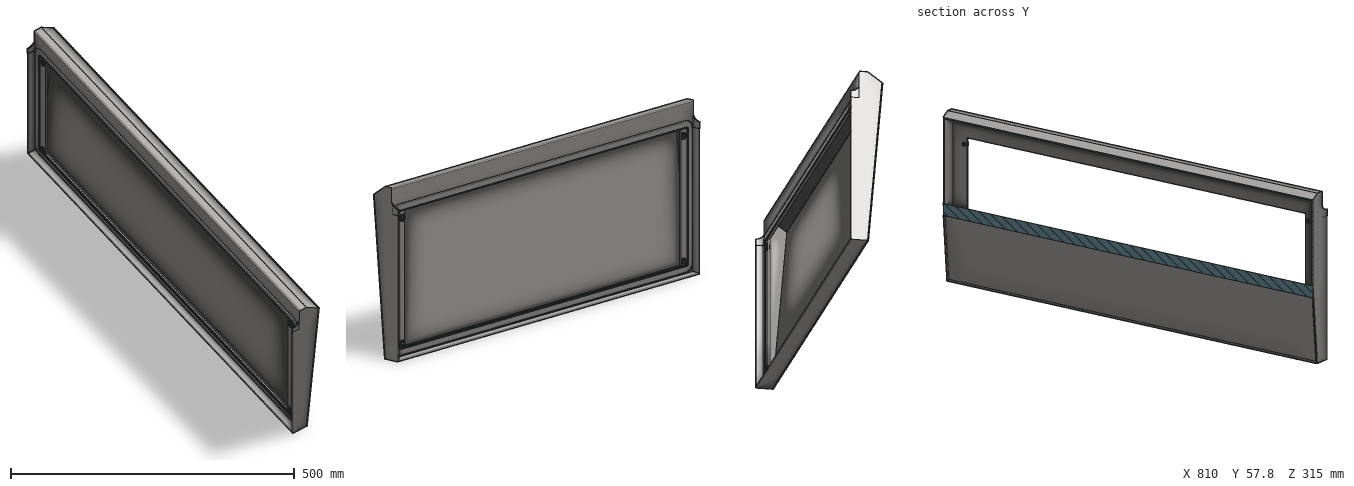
import cadquery as cq
import math

width = 810.0
height = 315.0
depth = 57.75

wall = 3.5
front_y = 15.0
top_back_y = 30.0
knee_z = 295.6
back_tilt = math.radians(5)
base_back_y = depth - knee_z * math.tan(back_tilt)
top_front_radius = 2.0

back_panel_thickness = 2.0

rim_wall = 3.0
rim_round_top = 266.0
rim_tip_z = 278.0
rim_sweep_z = 287.0
rim_tip_wall = 2.0

pad_width = 800.0
pad_bottom = 5.0
pad_top = 281.5
pad_height = 2.5
pad_corner_radius = 16.0
pad_edge_radius = 1.5
recess_border = 11.5
recess_corner_radius = 5.0
ledge_width = 2.0
ledge_depth = 1.25

strip_inner_x = 370.5
sill = 1.0

grommet_x = 377.0
grommet_zs = (25.7, 255.1)
grommet_places = [(side * grommet_x, z) for side in (-1, 1) for z in grommet_zs]
flange_diameter = 13.0
flange_thickness = 1.0
shank_diameter = 8.0
bore_diameter = 5.0

overlap = 1.0


def rounded_block(block_width, z_low, z_high, corner_radius, y_front, y_back):
    """Block with rounded corners in XZ, between two Y positions."""
    return (
        cq.Workplane("XZ", origin=(0, y_back, (z_low + z_high) / 2))
        .rect(block_width, z_high - z_low)
        .extrude(y_back - y_front)
        .edges("|Y")
        .fillet(corner_radius)
    )


def cylinder_y(diameter, x, z, y_front, y_back):
    """Cylinder along Y between two Y positions."""
    return cq.Workplane("XZ", origin=(x, y_back, z)).circle(diameter / 2).extrude(y_back - y_front)


def wedge_sketch(back_shift=0.0):
    """Closed side profile of the wedge in YZ, its sloping back moved along Y by back_shift."""
    return (
        cq.Workplane("YZ")
        .polyline(
            [
                (front_y, 0),
                (front_y, height),
                (top_back_y + back_shift, height),
                (depth + back_shift, knee_z),
                (base_back_y + back_shift, 0),
            ]
        )
        .close()
    )


def make_back_panel():
    """Flat sheet of even thickness, flush with the sloping back."""
    slant_y = back_panel_thickness / math.cos(back_tilt)
    inner_knee_y = depth - back_panel_thickness * math.cos(back_tilt)
    inner_knee_z = knee_z + back_panel_thickness * math.sin(back_tilt)
    return (
        cq.Workplane("YZ")
        .polyline(
            [
                (base_back_y, 0),
                (depth, knee_z),
                (inner_knee_y, inner_knee_z),
                (base_back_y - slant_y, 0),
            ]
        )
        .close()
        .extrude(width / 2, both=True)
    )


def rim_tip(side):
    """End of one rim leg, swept back to the front face by a circular arc."""
    sweep_drop = rim_sweep_z - rim_tip_z
    sweep_radius = (front_y**2 + sweep_drop**2) / (2 * sweep_drop)
    mid_angle = math.asin(front_y / sweep_radius) / 2
    mid_y = sweep_radius * math.sin(mid_angle)
    mid_z = rim_tip_z + sweep_radius * (1 - math.cos(mid_angle))
    inner_x = width / 2 - rim_tip_wall
    tip = (
        cq.Workplane("YZ", origin=(inner_x, 0, 0))
        .moveTo(0, rim_round_top)
        .lineTo(0, rim_tip_z)
        .threePointArc((mid_y, mid_z), (front_y, rim_sweep_z))
        .lineTo(front_y, rim_round_top)
        .close()
        .extrude(rim_tip_wall)
    )
    return tip if side > 0 else tip.mirror("YZ")


def make_rim():
    """U-shaped rim: its front edge fully rounded, with plain tips swept back to the front face."""
    round_radius = rim_wall / 2
    centre_x = width / 2 - round_radius
    path = (
        cq.Workplane("XZ", origin=(0, front_y, 0))
        .moveTo(-centre_x, rim_round_top)
        .lineTo(-centre_x, round_radius)
        .lineTo(centre_x, round_radius)
        .lineTo(centre_x, rim_round_top)
    )
    rim = (
        cq.Workplane("XY", origin=(-centre_x, 0, rim_round_top))
        .moveTo(-round_radius, front_y)
        .lineTo(-round_radius, round_radius)
        .threePointArc((0, 0), (round_radius, round_radius))
        .lineTo(round_radius, front_y)
        .close()
        .sweep(path, transition="right")
    )
    for side in (-1, 1):
        rim = rim.union(rim_tip(side))
    return rim


def make_pad():
    """Raised rounded pad on the front face, with a softened front edge."""
    pad = rounded_block(
        pad_width, pad_bottom, pad_top, pad_corner_radius, front_y - pad_height, front_y + wall
    )
    return pad.faces("<Y").edges().fillet(pad_edge_radius)


def recess_cut(inset, y_back):
    """Rounded cut in the pad, a given distance inside its outline."""
    return rounded_block(
        pad_width - 2 * inset,
        pad_bottom + inset,
        pad_top - inset,
        recess_corner_radius,
        front_y - pad_height - overlap,
        y_back,
    )


def make_housing(back_panel):
    """Hollow wedge with rim, pad, stepped recess, front opening and grommet holes."""
    wedge = wedge_sketch().extrude(width / 2, both=True)
    cavity_shift = (wall - back_panel_thickness) / math.cos(back_tilt)
    cavity = wedge_sketch(cavity_shift).offset2D(-wall).extrude(width / 2 - wall, both=True)
    wedge = wedge.edges("|X and <Y and >Z").fillet(top_front_radius)
    housing = wedge.union(make_rim()).union(make_pad()).cut(cavity).cut(back_panel)

    pad_front_y = front_y - pad_height
    housing = housing.cut(recess_cut(recess_border, pad_front_y + ledge_depth))
    strip_inset = recess_border + ledge_width
    housing = housing.cut(recess_cut(strip_inset, front_y))

    opening_low = pad_bottom + strip_inset + sill
    opening_high = pad_top - strip_inset
    opening = cq.Workplane("XY").box(
        2 * strip_inner_x, wall + 2 * overlap, opening_high - opening_low, centered=(True, False, False)
    )
    housing = housing.cut(opening.translate((0, front_y - overlap, opening_low)))
    for x, z in grommet_places:
        housing = housing.cut(cylinder_y(shank_diameter, x, z, front_y - overlap, front_y + wall))
    return housing


def make_grommet(x, z):
    """Flanged sleeve with a through bore, its shank filling the hole in the strip."""
    flange_front = front_y - flange_thickness
    grommet = cylinder_y(flange_diameter, x, z, flange_front, front_y)
    grommet = grommet.union(cylinder_y(shank_diameter, x, z, flange_front, front_y + wall))
    return grommet.cut(cylinder_y(bore_diameter, x, z, flange_front, front_y + wall))


back_panel = make_back_panel()
housing = make_housing(back_panel)
grommets = [make_grommet(x, z) for x, z in grommet_places]

result = cq.Compound.makeCompound(
    [housing.val(), back_panel.val(), *[grommet.val() for grommet in grommets]]
)